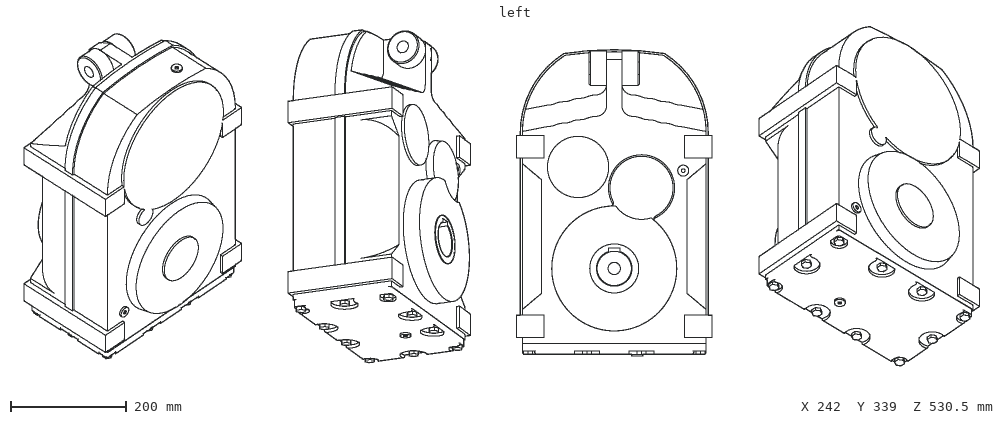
import cadquery as cq
import math


HOUSING_LENGTH = 185.5
HOUSING_HALF_WIDTH = 159.0
HOUSING_BOTTOM = -130.0
SHOULDER_CENTRE_Z = 234.5
HOUSING_CROWN_HALF_WIDTH = 85.5
HOUSING_TOP = 375.0

BAND_START = 87.0
BAND_END = 105.0
BAND_HALF_WIDTH = 163.0
BAND_CROWN_HALF_WIDTH = 87.0
BAND_TOP = 379.0

BAR_START = -6.0
BAR_END = 191.0
BAR_HALF_SPAN = 339.0 / 2
BAR_WIDTH = 48.0
BAR_HEIGHT = 39.0
BAR_BOTTOMS = (-120.0, 191.0)

COVER_BOTTOM = -148.5
COVER_CORNER_RADIUS = 5.5
COVER_EDGE_RADIUS = 4.0
COVER_SETBACK = 0.5
BOLT_INSET = 10.0
MIDDLE_BOLT_Y = 47.0
CORNER_SPOTFACE_RADIUS = 15.0
MIDDLE_SPOTFACE_RADIUS = 23.5
SPOTFACE_DEPTH = 6.0
BOLT_HEAD_DIAMETER = 18.0

RECESS_DEPTH = 78.5
RECESS_FLOOR_RISE = 37.0
RECESS_SLOPE_START_Y = 175.0
RECESS_SLOPE_START_Z = 234.0
WAVE_START_Y = 115.0
WAVE_START_Z = 245.5
WAVE_PITCH = 27.5
WAVE_RISE = 6.0
WAVE_COUNT = 3
RECESS_CEILING = 424.5
ARM_HALF_WIDTH = 26.0 / 2
ARM_CHAMFER_LENGTH = 26.5
ARM_CHAMFER_DROP = 14.0

EYE_X = 29.0
EYE_Z = 346.5
EYE_RADIUS = 29.5
EYE_HALF_LENGTH = 43.5
EYE_CHAMFER = 2.0
EYE_HOLE_RADIUS = 10.5

POCKET_LENGTH = 57.5
POCKET_DEPTH = 33.0
POCKET_BOTTOM = -71.0
POCKET_TOP = 181.5
POCKET_END_SLOPE = 27.5

HUB_RADIUS = 108.0
HUB_FRONT = -31.0
HUB_BACK = 205.5
HUB_BACK_ROOT_RADIUS = 112.5
COLLAR_RADIUS = 42.5
COLLAR_FRONT = -32.5
COLLAR_BACK = 209.5
BORE_RADIUS = 29.5
BORE_CHAMFER = 1.0
BORE_FLOOR_X = 170.0
BORE_PILOT_RADIUS = 10.5
BORE_PILOT_DEPTH = 10.5
KEYWAY_WIDTH = 20.0
KEYWAY_TOP = 35.0
KEYWAY_END_X = 148.5

FLAT_CAP_Y = 62.5
FLAT_CAP_Z = 175.5
FLAT_CAP_RADIUS = 53.0
FLAT_CAP_HEIGHT = 5.5
TALL_CAP_Y = -47.0
TALL_CAP_Z = 139.5
TALL_CAP_RADIUS = 54.5
TALL_CAP_ROOT_RADIUS = 57.5
TALL_CAP_HEIGHT = 12.5
CAP_HUB_FILLET = 5.5
BACK_CAP_Z = 247.0
BACK_CAP_RADIUS = 124.0
BACK_CAP_HEIGHT = 5.5
BACK_BOSS_Y = -69.0
BACK_BOSS_Z = 129.0
BACK_BOSS_RADIUS = 17.5

PLUG_RADIUS = 9.5
PLUG_HEIGHT = 3.5
PLUG_SOCKET_RADIUS = 3.0
PLUG_SOCKET_DEPTH = 2.5
TOP_PLUG = (155.0, 45.0, 373.0)
BOTTOM_PLUG = (60.5, -40.0, -148.0)
FRONT_PLUG = (0, -119.5, 169.0)
BACK_PLUG = (HOUSING_LENGTH, -119.5, -60.0)


def disc(y, z, x_start, x_end, radius):
    """Cylinder along X."""
    return cq.Workplane("YZ", origin=(x_start, y, z)).circle(radius).extrude(x_end - x_start)


def cone(y, z, x_start, x_end, start_radius, end_radius):
    """Truncated cone along X."""
    axis = cq.Vector(math.copysign(1, x_end - x_start), 0, 0)
    solid = cq.Solid.makeCone(start_radius, end_radius, abs(x_end - x_start), cq.Vector(x_start, y, z), axis)
    return cq.Workplane(solid)


def box(x_range, y_range, z_range):
    """Box between pairs of limits."""
    sizes = [end - start for start, end in (x_range, y_range, z_range)]
    corner = (x_range[0], y_range[0], z_range[0])
    return cq.Workplane("XY").box(*sizes, centered=False).translate(corner)


def arched_body(x_start, x_end, half_width, bottom, crown_half_width, top):
    """Straight-sided body with two round shoulders and a shallow crown."""
    corner_angle = math.acos(crown_half_width / half_width)
    corner_z = SHOULDER_CENTRE_Z + half_width * math.sin(corner_angle)
    mid_y = half_width * math.cos(corner_angle / 2)
    mid_z = SHOULDER_CENTRE_Z + half_width * math.sin(corner_angle / 2)
    return (
        cq.Workplane("YZ", origin=(x_start, 0, 0))
        .moveTo(-half_width, bottom)
        .lineTo(half_width, bottom)
        .lineTo(half_width, SHOULDER_CENTRE_Z)
        .threePointArc((mid_y, mid_z), (crown_half_width, corner_z))
        .threePointArc((0, top), (-crown_half_width, corner_z))
        .threePointArc((-mid_y, mid_z), (-half_width, SHOULDER_CENTRE_Z))
        .close()
        .extrude(x_end - x_start)
    )


def recess_half():
    """Space on the +Y side of the arm: a wavy floor swept up and back."""
    half_pitch = WAVE_PITCH / 2
    half_rise = WAVE_RISE / 2
    half_sweep = math.atan(half_rise / half_pitch)
    arc_radius = (half_pitch**2 + half_rise**2) / (2 * half_rise)
    mid_run = arc_radius * math.sin(half_sweep)
    mid_rise = arc_radius * (1 - math.cos(half_sweep))

    outline = (
        cq.Workplane("YZ")
        .moveTo(RECESS_SLOPE_START_Y, RECESS_CEILING)
        .lineTo(RECESS_SLOPE_START_Y, RECESS_SLOPE_START_Z)
        .lineTo(WAVE_START_Y, WAVE_START_Z)
    )
    for wave in range(WAVE_COUNT):
        y = WAVE_START_Y - wave * WAVE_PITCH
        z = WAVE_START_Z + wave * WAVE_RISE
        end_y = y - WAVE_PITCH
        end_z = z + WAVE_RISE
        outline = (
            outline.threePointArc((y - mid_run, z + mid_rise), (y - half_pitch, z + half_rise))
            .threePointArc((end_y + mid_run, end_z - mid_rise), (end_y, end_z))
        )
    arm_fillet = end_y - ARM_HALF_WIDTH
    outline = (
        outline.radiusArc((ARM_HALF_WIDTH, end_z + arm_fillet), arm_fillet)
        .lineTo(ARM_HALF_WIDTH, RECESS_CEILING)
        .close()
    )
    sweep = cq.Vector(RECESS_DEPTH, 0, RECESS_FLOOR_RISE)
    return cq.Workplane(cq.Solid.extrudeLinear(outline.val(), [], sweep))


def arm_nose():
    """Wedge that bevels the upper front edge of the torque arm."""
    return (
        cq.Workplane("XZ")
        .moveTo(0, HOUSING_TOP - ARM_CHAMFER_DROP)
        .lineTo(ARM_CHAMFER_LENGTH, HOUSING_TOP)
        .lineTo(ARM_CHAMFER_LENGTH, RECESS_CEILING)
        .lineTo(0, RECESS_CEILING)
        .close()
        .extrude(ARM_HALF_WIDTH, both=True)
    )


def side_pocket():
    """Pocket in the +Y front edge: a round inner wall and two sloping ends."""
    wall_y = HOUSING_HALF_WIDTH
    floor_y = wall_y - POCKET_DEPTH
    wall_radius = (POCKET_LENGTH**2 + POCKET_DEPTH**2) / (2 * POCKET_DEPTH)
    plan = (
        cq.Workplane("XY", origin=(0, 0, POCKET_BOTTOM))
        .moveTo(0, floor_y)
        .radiusArc((POCKET_LENGTH, wall_y), wall_radius)
        .lineTo(0, wall_y)
        .close()
        .extrude(POCKET_TOP - POCKET_BOTTOM)
    )
    ends = (
        cq.Workplane("YZ")
        .moveTo(wall_y, POCKET_BOTTOM)
        .lineTo(wall_y, POCKET_TOP)
        .lineTo(floor_y, POCKET_TOP - POCKET_END_SLOPE)
        .lineTo(floor_y, POCKET_BOTTOM + POCKET_END_SLOPE)
        .close()
        .extrude(POCKET_LENGTH)
    )
    return plan.intersect(ends)


def base_cover():
    """Plate under the housing, held by hex bolts whose heads sit flush in open spotfaces."""
    plate = (
        cq.Workplane("XY", origin=(HOUSING_LENGTH / 2, 0, COVER_BOTTOM))
        .rect(HOUSING_LENGTH - 2 * COVER_SETBACK, 2 * HOUSING_HALF_WIDTH)
        .extrude(HOUSING_BOTTOM - COVER_BOTTOM)
        .edges("|Z")
        .fillet(COVER_CORNER_RADIUS)
        .faces("<Z")
        .edges()
        .fillet(COVER_EDGE_RADIUS)
    )
    row_xs = (BOLT_INSET, HOUSING_LENGTH - BOLT_INSET)
    edge_y = HOUSING_HALF_WIDTH - BOLT_INSET
    corner_spots = [(x, y) for x in row_xs for y in (-edge_y, edge_y)]
    middle_spots = [(x, y) for x in row_xs for y in (-MIDDLE_BOLT_Y, MIDDLE_BOLT_Y)]
    middle_spots += [(HOUSING_LENGTH / 2, y) for y in (-edge_y, edge_y)]

    underside = cq.Workplane("XY", origin=(0, 0, COVER_BOTTOM))
    for spots, radius in ((corner_spots, CORNER_SPOTFACE_RADIUS), (middle_spots, MIDDLE_SPOTFACE_RADIUS)):
        plate = plate.cut(underside.pushPoints(spots).circle(radius).extrude(SPOTFACE_DEPTH))
    heads = underside.pushPoints(corner_spots + middle_spots).polygon(6, BOLT_HEAD_DIAMETER)
    return plate.union(heads.extrude(SPOTFACE_DEPTH))


def cap_hub_web(side):
    """Filler in the corner between the tall cap and the hub, on one side of their centre line."""
    centre_distance = math.hypot(TALL_CAP_Y, TALL_CAP_Z)
    hub_reach = HUB_RADIUS + CAP_HUB_FILLET
    cap_reach = TALL_CAP_RADIUS + CAP_HUB_FILLET
    cos_offset = (hub_reach**2 + centre_distance**2 - cap_reach**2) / (2 * hub_reach * centre_distance)
    angle = math.atan2(TALL_CAP_Z, TALL_CAP_Y) + side * math.acos(cos_offset)
    fillet_y = hub_reach * math.cos(angle)
    fillet_z = hub_reach * math.sin(angle)
    wedge = (
        cq.Workplane("YZ", origin=(-TALL_CAP_HEIGHT, 0, 0))
        .polyline([(0, 0), (TALL_CAP_Y, TALL_CAP_Z), (fillet_y, fillet_z)])
        .close()
        .extrude(TALL_CAP_HEIGHT)
    )
    return wedge.cut(disc(fillet_y, fillet_z, -TALL_CAP_HEIGHT, 0, CAP_HUB_FILLET))


def plug(place, direction):
    """Round screw plug with a small socket, standing out along a direction."""
    outward = cq.Vector(*direction)
    base = cq.Vector(*place)
    head = cq.Solid.makeCylinder(PLUG_RADIUS, 2 * PLUG_HEIGHT, base - outward * PLUG_HEIGHT, outward)
    socket_floor = base + outward * (PLUG_HEIGHT - PLUG_SOCKET_DEPTH)
    socket = cq.Solid.makeCylinder(PLUG_SOCKET_RADIUS, PLUG_SOCKET_DEPTH, socket_floor, outward)
    return cq.Workplane(head.cut(socket))


body = arched_body(
    0, HOUSING_LENGTH, HOUSING_HALF_WIDTH, HOUSING_BOTTOM, HOUSING_CROWN_HALF_WIDTH, HOUSING_TOP
)
for cutter in (recess_half(), side_pocket()):
    body = body.cut(cutter).cut(cutter.mirror("XZ"))
body = body.cut(arm_nose())
body = body.union(
    arched_body(BAND_START, BAND_END, BAND_HALF_WIDTH, BAR_BOTTOMS[0], BAND_CROWN_HALF_WIDTH, BAND_TOP)
)
body = body.union(base_cover())

for bar_bottom in BAR_BOTTOMS:
    bar = box(
        (BAR_START, BAR_END),
        (BAR_HALF_SPAN - BAR_WIDTH, BAR_HALF_SPAN),
        (bar_bottom, bar_bottom + BAR_HEIGHT),
    )
    body = body.union(bar).union(bar.mirror("XZ"))

eye_boss = (
    cq.Workplane("XZ", origin=(EYE_X, -ARM_HALF_WIDTH, EYE_Z))
    .circle(EYE_RADIUS)
    .extrude(EYE_HALF_LENGTH - ARM_HALF_WIDTH)
    .faces("<Y")
    .chamfer(EYE_CHAMFER)
)
eye_hole = (
    cq.Workplane("XZ", origin=(EYE_X, 0, EYE_Z))
    .circle(EYE_HOLE_RADIUS)
    .extrude(EYE_HALF_LENGTH, both=True)
)
body = body.union(eye_boss).union(eye_boss.mirror("XZ")).cut(eye_hole)

hub = disc(0, 0, HUB_FRONT, 0, HUB_RADIUS).cut(
    disc(TALL_CAP_Y, TALL_CAP_Z, HUB_FRONT, 0, TALL_CAP_RADIUS)
)
body = body.union(hub)
body = body.union(cone(0, 0, HOUSING_LENGTH, HUB_BACK, HUB_BACK_ROOT_RADIUS, HUB_RADIUS))

body = body.union(disc(FLAT_CAP_Y, FLAT_CAP_Z, -FLAT_CAP_HEIGHT, 0, FLAT_CAP_RADIUS))
body = body.union(cone(TALL_CAP_Y, TALL_CAP_Z, 0, -TALL_CAP_HEIGHT, TALL_CAP_ROOT_RADIUS, TALL_CAP_RADIUS))
for side in (-1, 1):
    body = body.union(cap_hub_web(side))
back_cap_face = HOUSING_LENGTH + BACK_CAP_HEIGHT
body = body.union(disc(0, BACK_CAP_Z, HOUSING_LENGTH, back_cap_face, BACK_CAP_RADIUS))
body = body.union(disc(BACK_BOSS_Y, BACK_BOSS_Z, HOUSING_LENGTH, back_cap_face, BACK_BOSS_RADIUS))

body = body.union(disc(0, 0, COLLAR_FRONT, COLLAR_BACK, COLLAR_RADIUS))
bore = disc(0, 0, COLLAR_FRONT, BORE_FLOOR_X, BORE_RADIUS)
bore_lip = cone(0, 0, COLLAR_FRONT, COLLAR_FRONT + BORE_CHAMFER, BORE_RADIUS + BORE_CHAMFER, BORE_RADIUS)
pilot = disc(0, 0, BORE_FLOOR_X, BORE_FLOOR_X + BORE_PILOT_DEPTH, BORE_PILOT_RADIUS)
keyway = box((COLLAR_FRONT, KEYWAY_END_X), (-KEYWAY_WIDTH / 2, KEYWAY_WIDTH / 2), (0, KEYWAY_TOP))
for cutter in (bore, bore_lip, pilot, keyway):
    body = body.cut(cutter)

body = body.union(plug(TOP_PLUG, (0, 0, 1)))
body = body.union(plug(BOTTOM_PLUG, (0, 0, -1)))
body = body.union(plug(FRONT_PLUG, (-1, 0, 0)))
body = body.union(plug(BACK_PLUG, (1, 0, 0)))

result = body